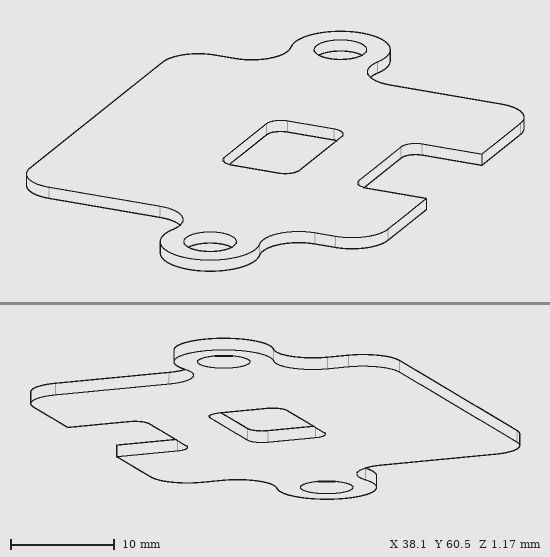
import cadquery as cq
import math

plate_side = 38.1
thickness = 1.17
corner_radius = 3.81

lug_radius = 4.826
lug_offset_x = 4.826
lug_offset_y = 25.4
lug_hole_diameter = 5.08
lug_fillet_radius = 3.81

opening_height = 12.7
opening_corner_radius = 1.524
window_left = -3.175
window_right = 4.826
notch_left = 11.176

half_side = plate_side / 2


def rounded_plate():
    """Square plate with rounded corners."""
    plate = cq.Workplane("XY").rect(plate_side, plate_side).extrude(thickness)
    return plate.edges("|Z").fillet(corner_radius)


def top_lug():
    """Lug on the +Y edge, blended into the edge by two tangent concave arcs."""
    fillet_center_y = half_side + lug_fillet_radius
    rise = lug_offset_y - fillet_center_y
    center_distance = lug_radius + lug_fillet_radius
    run = math.sqrt(center_distance**2 - rise**2)
    center_x = -lug_offset_x

    touch_dx = run * lug_radius / center_distance
    touch_y = lug_offset_y - rise * lug_radius / center_distance

    touch_angle = math.atan2(rise, -run)
    edge_angle = 1.5 * math.pi
    middle_angle = (touch_angle + edge_angle) / 2
    middle_dx = run + lug_fillet_radius * math.cos(middle_angle)
    middle_y = fillet_center_y + lug_fillet_radius * math.sin(middle_angle)

    foot_y = half_side - corner_radius
    return (
        cq.Workplane("XY")
        .moveTo(center_x + run, foot_y)
        .lineTo(center_x + run, half_side)
        .threePointArc((center_x + middle_dx, middle_y), (center_x + touch_dx, touch_y))
        .threePointArc((center_x, lug_offset_y + lug_radius), (center_x - touch_dx, touch_y))
        .threePointArc((center_x - middle_dx, middle_y), (center_x - run, half_side))
        .lineTo(center_x - run, foot_y)
        .close()
        .extrude(thickness)
    )


def lug_holes():
    """Through holes concentric with the lugs."""
    centers = [(-lug_offset_x, lug_offset_y), (lug_offset_x, -lug_offset_y)]
    return cq.Workplane("XY").pushPoints(centers).circle(lug_hole_diameter / 2).extrude(thickness)


def opening(left, right, rounded_edges):
    """Through cutter from left to right in X, with the selected edges rounded."""
    cutter = cq.Workplane("XY").center((left + right) / 2, 0)
    cutter = cutter.rect(right - left, opening_height).extrude(thickness)
    return cutter.edges(rounded_edges).fillet(opening_corner_radius)


lug = top_lug()
opposite_lug = lug.rotate((0, 0, 0), (0, 0, 1), 180)
window = opening(window_left, window_right, "|Z")
notch = opening(notch_left, half_side, "|Z and <X")

result = rounded_plate().union(lug).union(opposite_lug)
result = result.cut(lug_holes()).cut(window).cut(notch)